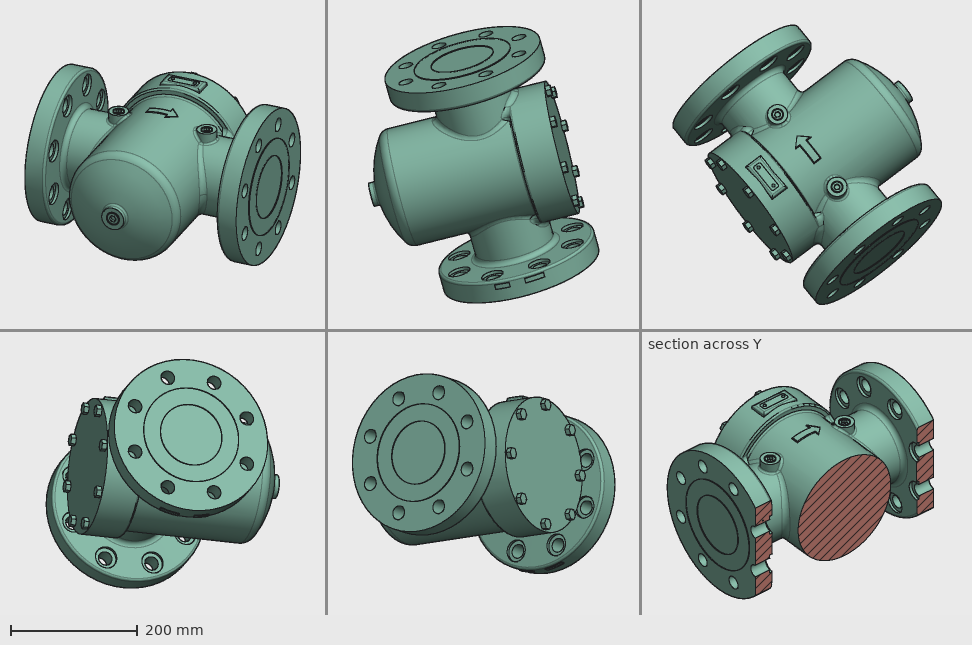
import cadquery as cq
import math

MARGIN = 0.1

FACE_TO_FACE = 368.3
FLANGE_RADIUS = 127.0
RAISED_FACE_RADIUS = 78.6
RAISED_FACE_HEIGHT = 1.6
BORE_RADIUS = 50.8
FLANGE_BACK_X = 148.3
FLANGE_HUB_X = 146.5
RIM_FILLET = 4.0
NECK_RADIUS = 63.5
NECK_FILLET = 8.5
FLANGE_BOLT_CIRCLE = 100.1
FLANGE_BOLTS = 8
FLANGE_HOLE_RADIUS = 11.1
SPOT_FACE_RADIUS = 17.5
SPOT_FACE_X = 152.4

BODY_RADIUS = 95.25
BODY_CYLINDER_END_Y = -146.0
KNUCKLE_RADIUS = 18.5
KNUCKLE_ANGLE = 56.0
BODY_NECK_FILLET = 9.0

COVER_RADIUS = 108.0
COVER_TOP_Y = 114.8
RIM_BOTTOM_Y = 53.5
COVER_FILLET = 3.0
COVER_BOLTS = 8
COVER_BOLT_CIRCLE = 96.8
BOLT_HEAD_ACROSS_FLATS = 15.9
BOLT_HEAD_HEIGHT = 8.0

OVERALL_DEPTH = 323.85
DRAIN_END_Y = FLANGE_RADIUS - OVERALL_DEPTH
DRAIN_RADIUS = 19.05
DRAIN_FOOT_FILLET = 3.5
DRAIN_PLUG_RADIUS = 11.0
DRAIN_SOCKET_CORNER = 5.6

PORT_X = 76.0
PORT_RADIUS = 16.0
PORT_TOP_Z = 80.2
PORT_FOOT_FILLET = 3.5
PORT_PLUG_RADIUS = 9.4
PORT_SOCKET_CORNER = 4.9

PLUG_GAP = 1.2
PLUG_GAP_DEPTH = 1.5
SOCKET_DEPTH = 5.0
HEX_SIDES = 6

PAD_LENGTH = 68.4
PAD_WIDTH = 31.3
PAD_CENTER_Y = 82.4
PAD_TOP_Z = 108.8
PAD_BASE_Z = 101.5
PAD_TAPER = 10.0
PAD_EDGE_FILLET = 4.0
PLATE_LENGTH = 49.8
PLATE_WIDTH = 13.8
PLATE_CORNER = 3.0
PLATE_THICKNESS = 0.3
PLATE_CENTER_Y = 83.0
RIVET_X = 19.0
RIVET_RADIUS = 2.6
RIVET_HEIGHT = 2.5
RIVET_FILLET = 1.8

ARROW_TAIL_X = -26.3
ARROW_NECK_X = 10.0
ARROW_TIP_X = 26.3
ARROW_SHAFT_HALF = 7.3
ARROW_HEAD_HALF = 16.0
ARROW_HEIGHT = 1.3
ARROW_BEVEL = 1.25

MARK_RADIUS = 128.5
MARK_X = -157.7
MARK_WIDTH = 7.9
MARK_ROOT_RADIUS = FLANGE_RADIUS - 1.0
MARK_SPANS = ((-16.5, -5.7), (5.7, 20.0))


def fillet_circle(solid, radius, y, fillet_radius):
    """Fillet the full circle of the given radius about the vessel axis at height y."""
    def flat_box(reach):
        low = (-reach, y - MARGIN, -reach)
        high = (reach, y + MARGIN, reach)
        return cq.selectors.BoxSelector(low, high, boundingbox=True)

    circle = flat_box(radius + MARGIN) - flat_box(radius - MARGIN)
    return solid.edges(circle).fillet(fillet_radius)


def vessel_body():
    """Domed cylinder with the wider bolting rim and cover at its open end."""
    angle = math.radians(KNUCKLE_ANGLE)
    knuckle_center_r = BODY_RADIUS - KNUCKLE_RADIUS
    knuckle_mid = (
        knuckle_center_r + KNUCKLE_RADIUS * math.cos(angle / 2),
        BODY_CYLINDER_END_Y - KNUCKLE_RADIUS * math.sin(angle / 2),
    )
    dome_edge = (
        knuckle_center_r + KNUCKLE_RADIUS * math.cos(angle),
        BODY_CYLINDER_END_Y - KNUCKLE_RADIUS * math.sin(angle),
    )
    dome_radius = dome_edge[0] / math.cos(angle)
    dome_center_y = dome_edge[1] + dome_radius * math.sin(angle)
    foot_y = dome_center_y - math.sqrt(dome_radius**2 - DRAIN_RADIUS**2)
    half_way = (math.pi / 2 + angle) / 2
    dome_mid = (dome_radius * math.cos(half_way), dome_center_y - dome_radius * math.sin(half_way))

    body = (
        cq.Workplane("XY")
        .moveTo(0, COVER_TOP_Y)
        .lineTo(COVER_RADIUS, COVER_TOP_Y)
        .lineTo(COVER_RADIUS, RIM_BOTTOM_Y)
        .lineTo(BODY_RADIUS, RIM_BOTTOM_Y)
        .lineTo(BODY_RADIUS, BODY_CYLINDER_END_Y)
        .threePointArc(knuckle_mid, dome_edge)
        .threePointArc(dome_mid, (DRAIN_RADIUS, foot_y))
        .lineTo(DRAIN_RADIUS, DRAIN_END_Y)
        .lineTo(0, DRAIN_END_Y)
        .close()
        .revolve(360, (0, 0, 0), (0, 1, 0))
    )
    return fillet_circle(body, DRAIN_RADIUS, foot_y, DRAIN_FOOT_FILLET)


def necks():
    length = 2 * FLANGE_HUB_X
    return cq.Workplane("YZ", origin=(-FLANGE_HUB_X, 0, 0)).circle(NECK_RADIUS).extrude(length)


def housing():
    """Vessel with rounded rim, blended into the cross pipe that forms both necks."""
    rounded = fillet_circle(vessel_body(), COVER_RADIUS, RIM_BOTTOM_Y, COVER_FILLET)
    crossed = rounded.union(necks())
    reach = NECK_RADIUS + MARGIN
    joints = cq.selectors.BoxSelector(
        (-COVER_RADIUS - MARGIN, -reach, -reach),
        (COVER_RADIUS + MARGIN, COVER_TOP_Y - MARGIN, reach),
        boundingbox=True,
    )
    blended = crossed.edges(joints).fillet(BODY_NECK_FILLET)
    return blended.union(fillet_circle(rounded, BODY_RADIUS, RIM_BOTTOM_Y, COVER_FILLET))


def inlet_flange():
    """Flange at the -X end with its neck fillet, raised face, bolt holes and spot faces."""
    face_x = FACE_TO_FACE / 2 - RAISED_FACE_HEIGHT
    flange = (
        cq.Workplane("XY")
        .moveTo(-face_x, 0)
        .lineTo(-face_x, FLANGE_RADIUS)
        .lineTo(-FLANGE_BACK_X - RIM_FILLET, FLANGE_RADIUS)
        .radiusArc((-FLANGE_BACK_X, FLANGE_RADIUS - RIM_FILLET), RIM_FILLET)
        .lineTo(-FLANGE_HUB_X, NECK_RADIUS + NECK_FILLET)
        .radiusArc((-FLANGE_HUB_X + NECK_FILLET, NECK_RADIUS), -NECK_FILLET)
        .lineTo(-FLANGE_HUB_X + NECK_FILLET, 0)
        .close()
        .revolve(360, (0, 0, 0), (1, 0, 0))
    )
    raised_face = (
        cq.Workplane("YZ", origin=(-face_x, 0, 0))
        .circle(RAISED_FACE_RADIUS)
        .circle(BORE_RADIUS)
        .extrude(-RAISED_FACE_HEIGHT)
    )
    holes = (
        cq.Workplane("YZ", origin=(-face_x, 0, 0))
        .polarArray(FLANGE_BOLT_CIRCLE, 180 / FLANGE_BOLTS, 360, FLANGE_BOLTS)
        .circle(FLANGE_HOLE_RADIUS)
        .extrude(face_x - FLANGE_HUB_X)
    )
    spot_faces = (
        cq.Workplane("YZ", origin=(-SPOT_FACE_X, 0, 0))
        .polarArray(FLANGE_BOLT_CIRCLE, 180 / FLANGE_BOLTS, 360, FLANGE_BOLTS)
        .circle(SPOT_FACE_RADIUS)
        .extrude(SPOT_FACE_X - FLANGE_HUB_X)
    )
    return flange.union(raised_face).cut(holes).cut(spot_faces)


def cut_plug(solid, plane, plug_radius, socket_corner):
    """Cut the gap around a flush threaded plug and its hexagon socket."""
    gap = cq.Workplane(plane).circle(plug_radius).circle(plug_radius - PLUG_GAP).extrude(-PLUG_GAP_DEPTH)
    socket = cq.Workplane(plane).polygon(HEX_SIDES, 2 * socket_corner).extrude(-SOCKET_DEPTH)
    return solid.cut(gap).cut(socket)


def add_ports(solid):
    """Gauge bosses rising from the flow axis where the necks meet the body, with plugs."""
    centers = [(-PORT_X, 0), (PORT_X, 0)]
    ports = cq.Workplane("XY").pushPoints(centers).circle(PORT_RADIUS).extrude(PORT_TOP_Z)
    solid = solid.union(ports)
    reach = PORT_RADIUS + MARGIN
    for x in (-PORT_X, PORT_X):
        foot = cq.selectors.BoxSelector(
            (x - reach, -reach, BODY_RADIUS / 2),
            (x + reach, reach, PORT_TOP_Z - MARGIN),
            boundingbox=True,
        )
        solid = solid.edges(foot).edges("not |Z").fillet(PORT_FOOT_FILLET)
        top = cq.Plane(origin=(x, 0, PORT_TOP_Z), xDir=(1, 0, 0), normal=(0, 0, 1))
        solid = cut_plug(solid, top, PORT_PLUG_RADIUS, PORT_SOCKET_CORNER)
    return solid


def bolt_heads():
    across_corners = BOLT_HEAD_ACROSS_FLATS / math.cos(math.pi / HEX_SIDES)
    return (
        cq.Workplane("XZ", origin=(0, COVER_TOP_Y, 0))
        .polarArray(COVER_BOLT_CIRCLE, 0, 360, COVER_BOLTS, rotate=False)
        .polygon(HEX_SIDES, across_corners)
        .extrude(-BOLT_HEAD_HEIGHT)
    )


def nameplate():
    """Tapered pad on top of the rim, with a riveted plate."""
    pad = (
        cq.Workplane("XY", origin=(0, PAD_CENTER_Y, PAD_BASE_Z))
        .rect(PAD_LENGTH, PAD_WIDTH)
        .extrude(PAD_TOP_Z - PAD_BASE_Z, taper=PAD_TAPER)
        .faces(">Z")
        .edges()
        .fillet(PAD_EDGE_FILLET)
    )
    plate = (
        cq.Workplane("XY", origin=(0, PLATE_CENTER_Y, PAD_TOP_Z))
        .rect(PLATE_LENGTH, PLATE_WIDTH)
        .extrude(PLATE_THICKNESS)
        .edges("|Z")
        .fillet(PLATE_CORNER)
    )
    rivets = (
        cq.Workplane("XY", origin=(0, PLATE_CENTER_Y, PAD_TOP_Z))
        .pushPoints([(-RIVET_X, 0), (RIVET_X, 0)])
        .circle(RIVET_RADIUS)
        .extrude(RIVET_HEIGHT)
        .faces(">Z")
        .edges()
        .fillet(RIVET_FILLET)
    )
    return pad.union(plate).union(rivets)


def flow_arrow():
    """Raised arrow that follows the curve of the body, bevelled along its shaft and barbs."""
    top_radius = BODY_RADIUS + ARROW_HEIGHT
    root_z = BODY_RADIUS / 2
    outline = (
        cq.Workplane("XY", origin=(0, 0, root_z))
        .moveTo(ARROW_TAIL_X, -ARROW_SHAFT_HALF)
        .lineTo(ARROW_NECK_X, -ARROW_SHAFT_HALF)
        .lineTo(ARROW_NECK_X, -ARROW_HEAD_HALF)
        .lineTo(ARROW_TIP_X, 0)
        .lineTo(ARROW_NECK_X, ARROW_HEAD_HALF)
        .lineTo(ARROW_NECK_X, ARROW_SHAFT_HALF)
        .lineTo(ARROW_TAIL_X, ARROW_SHAFT_HALF)
        .close()
        .extrude(top_radius)
    )
    envelope = cq.Workplane("XZ").circle(top_radius).extrude(ARROW_HEAD_HALF + MARGIN, both=True)
    bevelled = cq.selectors.BoxSelector(
        (ARROW_TAIL_X - MARGIN, -ARROW_HEAD_HALF - MARGIN, root_z + MARGIN),
        (ARROW_NECK_X + MARGIN, ARROW_HEAD_HALF + MARGIN, top_radius + MARGIN),
        boundingbox=True,
    )
    return outline.intersect(envelope).edges(bevelled).chamfer(ARROW_BEVEL)


def cast_mark(start, end):
    """Raised arc pad under the inlet flange rim, between two angles from straight down."""
    def point(radius, angle):
        turn = math.radians(angle)
        return (radius * math.sin(turn), -radius * math.cos(turn))

    middle = (start + end) / 2
    return (
        cq.Workplane("YZ", origin=(MARK_X - MARK_WIDTH / 2, 0, 0))
        .moveTo(*point(MARK_ROOT_RADIUS, start))
        .lineTo(*point(MARK_RADIUS, start))
        .threePointArc(point(MARK_RADIUS, middle), point(MARK_RADIUS, end))
        .lineTo(*point(MARK_ROOT_RADIUS, end))
        .threePointArc(point(MARK_ROOT_RADIUS, middle), point(MARK_ROOT_RADIUS, start))
        .close()
        .extrude(MARK_WIDTH)
    )


def drained(solid):
    end = cq.Plane(origin=(0, DRAIN_END_Y, 0), xDir=(1, 0, 0), normal=(0, -1, 0))
    return cut_plug(solid, end, DRAIN_PLUG_RADIUS, DRAIN_SOCKET_CORNER)


vessel = drained(add_ports(housing()))
inlet = inlet_flange()
outlet = inlet.mirror("YZ")
for span in MARK_SPANS:
    inlet = inlet.union(cast_mark(*span))
result = vessel.union(inlet).union(outlet).union(bolt_heads()).union(nameplate()).union(flow_arrow())